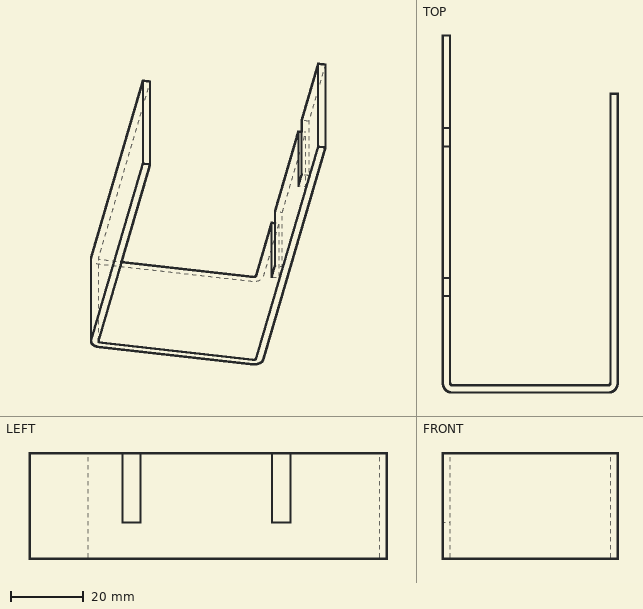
import cadquery as cq

width = 48.0
long_leg = 98.0
short_leg = 82.0
height = 29.0

thickness = 2.1
inner_bend_radius = 0.6
outer_bend_radius = inner_bend_radius + thickness

slot_width = 5.0
slot_depth = 19.0
slot_centers_y = (29.0, 70.1)


def rounded_block(size_x, size_y, corner_radius):
    """Full-height block with its two upright -Y edges rounded."""
    block = cq.Workplane("XY").box(size_x, size_y, height, centered=False)
    return block.faces("<Y").edges("|Z").fillet(corner_radius)


def bent_strip():
    """U-shaped strip standing on edge, with its web along X and legs along +Y."""
    envelope = rounded_block(width, long_leg, outer_bend_radius)
    inside = rounded_block(width - 2 * thickness, long_leg, inner_bend_radius)
    return envelope.cut(inside.translate((thickness, thickness, 0)))


def short_leg_trim():
    """Block that cuts the +X leg to its shorter length."""
    trim = cq.Workplane("XY").box(thickness, long_leg - short_leg, height, centered=False)
    return trim.translate((width - thickness, short_leg, 0))


def slot_cutter(center_y):
    """Block that opens one slot down from the top edge of the long leg."""
    cutter = cq.Workplane("XY").box(thickness, slot_width, slot_depth, centered=False)
    return cutter.translate((0, center_y - slot_width / 2, height - slot_depth))


result = bent_strip().cut(short_leg_trim())
for slot_center_y in slot_centers_y:
    result = result.cut(slot_cutter(slot_center_y))